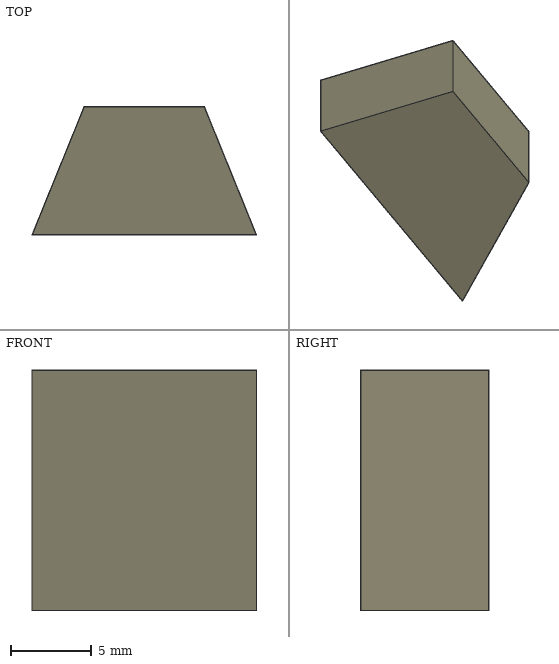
import cadquery as cq

height = 15.0
depth = 8.0
front_width = 14.0
back_width = 7.5

outline = [
    (-front_width / 2, -depth / 2),
    (front_width / 2, -depth / 2),
    (back_width / 2, depth / 2),
    (-back_width / 2, depth / 2),
]

result = cq.Workplane("XY").polyline(outline).close().extrude(height)